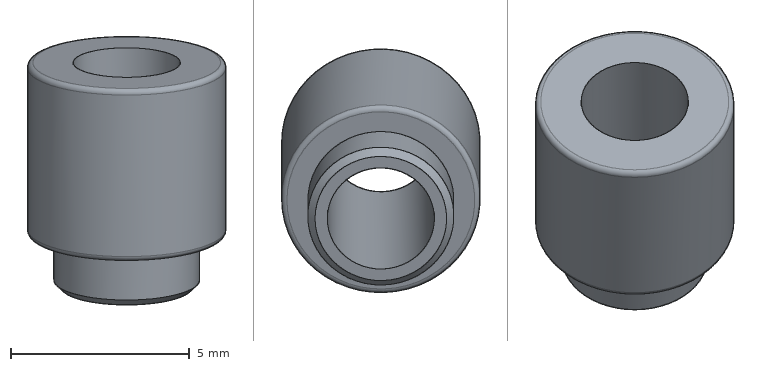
import cadquery as cq

total_height = 6.53
body_height = 5.0
body_diameter = 5.56
spigot_diameter = 4.09
bore_diameter = 3.0
body_edge_radius = 0.15
spigot_chamfer = 0.2

spigot_height = total_height - body_height


def make_spigot():
    """Narrow lower end, standing on Z = 0, with a chamfered lead-in."""
    spigot = cq.Workplane("XY").circle(spigot_diameter / 2).extrude(spigot_height)
    return spigot.faces("<Z").edges().chamfer(spigot_chamfer)


def make_body():
    """Wide upper cylinder with both outer rims rounded."""
    body = cq.Workplane("XY").workplane(offset=spigot_height)
    body = body.circle(body_diameter / 2).extrude(body_height)
    return body.edges("%CIRCLE").fillet(body_edge_radius)


def make_bore():
    """Straight through hole along the axis."""
    return cq.Workplane("XY").circle(bore_diameter / 2).extrude(total_height)


result = make_spigot().union(make_body()).cut(make_bore())